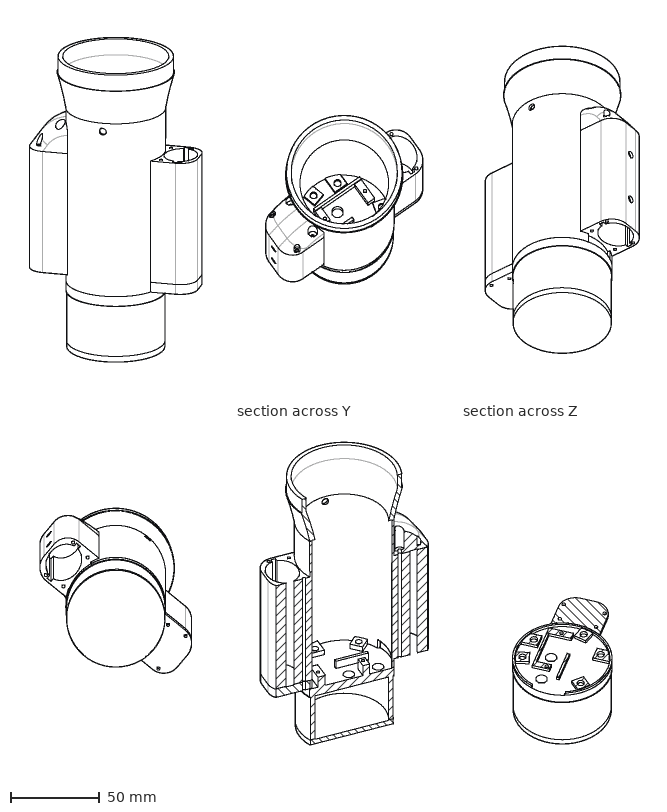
import cadquery as cq
import math

CAP_TOP = 3.5
SLEEVE_TOP = 33.3
FLOOR_Z = 39.1
POD_BOTTOM = 45.0
POD_TOP = 117.1
TUBE_TOP = 142.0
RIM_BOTTOM = 163.0
TOTAL_HEIGHT = 172.5

TUBE_DIA = 56.2
TUBE_BORE = 53.3
SLEEVE_DIA = 55.4
SLEEVE_BORE = 49.8
BELL_DIA = 66.0
RIM_DIA = 65.0
RIM_BORE = 59.7
THROAT_DIA = 49.8
FLARE_BOW = 0.3
TUBE_SCREW_DIA = 4.0
TUBE_SCREW_Z = 137.0

SPAN_X = 97.5
POD_WIDTH = 29.0
POD_CORNER = 10.0
POCKET_X = 38.0
POCKET_HALF_X = 9.3
POCKET_HALF_Y = 11.0
NOTCH_WIDTH = 2.8
NOTCH_SPAN = 25.9
WINDOW_WIDTH = 19.5
POD_SCREW_DIA = 1.7
OUTER_SCREW = (41.0, 12.0)
INNER_SCREW = (29.3, 10.7)
SIDE_HOLE_DIA = 4.0
SIDE_HOLE_LEVELS = (65.0, 97.0)

DOME_RADIUS = 24.1
DOME_AXIS_X = -22.8
DOME_SLOPE = 55.0
HEAD_SEAT_Z = 119.9
OUTER_HEAD_DIA = 3.5
INNER_HEAD_DIA = 5.3

FITTINGS_DIA = 53.0
PAD_HEIGHT = 3.1
RADIAL_PAD_ANGLES = (105, 225, 345)
RADIAL_PAD_SIZE = 7.8
RADIAL_PAD_HOLE = 3.8
RADIAL_PAD_HOLE_R = 22.5
RADIAL_PAD_INNER_R = 18.5
SQUARE_PAD_SIZE = 8.5
SQUARE_PAD_HOLE = 4.0
SQUARE_PAD_HOLE_X = 9.3
SQUARE_PAD_HOLE_Y = 19.7
SQUARE_PAD_INNER_Y = 16.2
WIRE_HOLE_DIA = 6.4
WIRE_HOLES = ((-18.0, 6.5), (0, 6.5))
BRACKET_X = (-10.9, 20.9)
BRACKET_Y = (13.0, 14.5)
BRACKET_HEIGHT = 8.6
LEG_HEIGHT = 6.9
LEFT_LEG_WIDTH = 4.1
LEFT_LEG_END_Y = 4.1
RIGHT_LEG_WIDTH = 4.7
RIGHT_LEG_END_Y = -0.2
LEG_HOLE_DIA = 1.7
LEG_HOLES = ((-8.8, 6.4), (18.8, 6.4))
STRIP_X = (-15.5, 4.5)
STRIP_Y = (-3.1, -1.4)
STRIP_HEIGHT = 5.0

POD_END_X = SPAN_X / 2
TUBE_RADIUS = TUBE_DIA / 2


def cylinder(diameter, z_low, z_high, x=0.0, y=0.0):
    return cq.Workplane("XY", origin=(x, y, z_low)).circle(diameter / 2).extrude(z_high - z_low)


def block(x_range, y_range, z_range):
    size = [high - low for low, high in (x_range, y_range, z_range)]
    corner = (x_range[0], y_range[0], z_range[0])
    return cq.Workplane("XY").box(*size, centered=False).translate(corner)


def pod_prism(side, z_low, z_high):
    """Rounded pod outline from the tube axis out to one side (+1 is +X, -1 is -X)."""
    prism = (
        cq.Workplane("XY", origin=(side * POD_END_X / 2, 0, z_low))
        .rect(POD_END_X, POD_WIDTH)
        .extrude(z_high - z_low)
    )
    outer_face = ">X" if side > 0 else "<X"
    return prism.faces(outer_face).edges("|Z").fillet(POD_CORNER)


def screw_points(side, place):
    x, y = place
    return [(side * x, -y), (side * x, y)]


def pod_screw_holes(side, z_low, z_high):
    points = screw_points(side, OUTER_SCREW) + screw_points(side, INNER_SCREW)
    return (
        cq.Workplane("XY", origin=(0, 0, z_low))
        .pushPoints(points)
        .circle(POD_SCREW_DIA / 2)
        .extrude(z_high - z_low)
    )


def pod_pocket(side):
    """Elliptical pocket along the whole pod, with a key notch on each flank."""
    start = cq.Workplane("XY", origin=(side * POCKET_X, 0, POD_BOTTOM))
    depth = POD_TOP - POD_BOTTOM
    notches = start.rect(NOTCH_WIDTH, NOTCH_SPAN).extrude(depth)
    return start.ellipse(POCKET_HALF_X, POCKET_HALF_Y).extrude(depth).union(notches)


def make_housing():
    """Main tube with both pods, open at both ends."""
    housing = cylinder(TUBE_DIA, FLOOR_Z, TUBE_TOP)
    for side in (-1, 1):
        housing = housing.union(pod_prism(side, POD_BOTTOM, POD_TOP))
    housing = housing.cut(cylinder(TUBE_BORE, FLOOR_Z, TUBE_TOP))
    for side in (-1, 1):
        housing = housing.cut(pod_pocket(side))
        housing = housing.cut(pod_screw_holes(side, POD_BOTTOM, POD_TOP))

    half_window = WINDOW_WIDTH / 2
    window = block((-TUBE_RADIUS, 0), (-half_window, half_window), (FLOOR_Z, POD_BOTTOM))
    housing = housing.cut(window)

    cross_hole = (
        cq.Workplane("XZ", origin=(0, 0, TUBE_SCREW_Z))
        .circle(TUBE_SCREW_DIA / 2)
        .extrude(TUBE_RADIUS, both=True)
    )
    housing = housing.cut(cross_hole)

    side_holes = (
        cq.Workplane("YZ", origin=(-POD_END_X, 0, 0))
        .pushPoints([(0, z) for z in SIDE_HOLE_LEVELS])
        .circle(SIDE_HOLE_DIA / 2)
        .extrude(POD_END_X - POCKET_X)
    )
    return housing.cut(side_holes)


def make_bell():
    """Flared bell with a cylindrical rim."""
    mid_z = (TUBE_TOP + RIM_BOTTOM) / 2
    outer_mid = (TUBE_DIA + BELL_DIA) / 4 - FLARE_BOW
    inner_mid = (THROAT_DIA + RIM_BORE) / 4 - FLARE_BOW
    wall = (
        cq.Workplane("XZ")
        .moveTo(THROAT_DIA / 2, TUBE_TOP)
        .lineTo(TUBE_RADIUS, TUBE_TOP)
        .threePointArc((outer_mid, mid_z), (BELL_DIA / 2, RIM_BOTTOM))
        .lineTo(RIM_DIA / 2, RIM_BOTTOM)
        .lineTo(RIM_DIA / 2, TOTAL_HEIGHT)
        .lineTo(RIM_BORE / 2, TOTAL_HEIGHT)
        .lineTo(RIM_BORE / 2, RIM_BOTTOM)
        .threePointArc((inner_mid, mid_z), (THROAT_DIA / 2, TUBE_TOP))
        .close()
    )
    return wall.revolve(360, (0, 0, 0), (0, 1, 0))


def make_dome():
    """Cover of the left pod: one rounded section run up a straight flank, then around an arc."""
    slope = math.radians(DOME_SLOPE)
    bend_x = DOME_AXIS_X - DOME_RADIUS * math.sin(slope)
    bend_z = POD_TOP + (bend_x + POD_END_X) * math.tan(slope)
    axis_z = bend_z - DOME_RADIUS * math.cos(slope)
    flank_length = DOME_RADIUS + (bend_x + POD_END_X) / math.cos(slope)

    section_plane = cq.Plane(
        origin=(DOME_AXIS_X, 0, axis_z),
        xDir=(-math.sin(slope), 0, math.cos(slope)),
        normal=(-math.cos(slope), 0, -math.sin(slope)),
    )
    half_width = POD_WIDTH / 2
    flat_half = half_width - POD_CORNER
    corner_depth = POD_CORNER * math.sin(slope)
    shoulder = DOME_RADIUS - corner_depth
    diagonal = math.sqrt(0.5)
    corner_x = shoulder + corner_depth * diagonal
    corner_y = flat_half + POD_CORNER * diagonal

    def section():
        return (
            cq.Workplane(section_plane)
            .moveTo(0, -half_width)
            .lineTo(shoulder, -half_width)
            .spline([(corner_x, -corner_y), (DOME_RADIUS, -flat_half)],
                    tangents=[(1, 0), (0, 1)], includeCurrent=True)
            .lineTo(DOME_RADIUS, flat_half)
            .spline([(corner_x, corner_y), (shoulder, half_width)],
                    tangents=[(0, 1), (-1, 0)], includeCurrent=True)
            .lineTo(0, half_width)
            .close()
        )

    flank = section().extrude(flank_length)
    crown = section().revolve(DOME_SLOPE, (0, 0, 0), (0, 1, 0))
    dome = flank.union(crown)

    half_span = (-half_width, half_width)
    dome = dome.intersect(block((-POD_END_X, DOME_AXIS_X), half_span, (POD_TOP, TUBE_TOP)))
    dome = dome.cut(cylinder(TUBE_DIA, POD_TOP, TUBE_TOP))

    dome = dome.cut(pod_screw_holes(-1, POD_TOP, TUBE_TOP))
    for place, diameter in ((OUTER_SCREW, OUTER_HEAD_DIA), (INNER_SCREW, INNER_HEAD_DIA)):
        for x, y in screw_points(-1, place):
            dome = dome.cut(cylinder(diameter, HEAD_SEAT_Z, TUBE_TOP, x, y))
    return dome


def make_pod_lid():
    """Plate that closes the bottom of the right pod."""
    lid = pod_prism(1, FLOOR_Z, POD_BOTTOM)
    lid = lid.cut(cylinder(TUBE_DIA, FLOOR_Z, POD_BOTTOM))
    return lid.cut(pod_screw_holes(1, FLOOR_Z, POD_BOTTOM))


def radial_pad(angle):
    pad = block(
        (RADIAL_PAD_INNER_R, TUBE_RADIUS),
        (-RADIAL_PAD_SIZE / 2, RADIAL_PAD_SIZE / 2),
        (FLOOR_Z, FLOOR_Z + PAD_HEIGHT),
    )
    hole = cylinder(RADIAL_PAD_HOLE, FLOOR_Z, FLOOR_Z + PAD_HEIGHT, RADIAL_PAD_HOLE_R)
    return pad.cut(hole).rotate((0, 0, 0), (0, 0, 1), angle)


def square_pads():
    """Two pads mirrored about the XZ plane."""
    half_size = SQUARE_PAD_SIZE / 2
    pad = block(
        (SQUARE_PAD_HOLE_X - half_size, SQUARE_PAD_HOLE_X + half_size),
        (SQUARE_PAD_INNER_Y, TUBE_RADIUS),
        (FLOOR_Z, FLOOR_Z + PAD_HEIGHT),
    )
    pad = pad.cut(
        cylinder(SQUARE_PAD_HOLE, FLOOR_Z, FLOOR_Z + PAD_HEIGHT, SQUARE_PAD_HOLE_X, SQUARE_PAD_HOLE_Y)
    )
    return pad, pad.mirror("XZ")


def bracket():
    """Upright wall with a lower drilled leg at each end."""
    left, right = BRACKET_X
    wall_y = BRACKET_Y[0]
    leg_range = (FLOOR_Z, FLOOR_Z + LEG_HEIGHT)
    shape = block(BRACKET_X, BRACKET_Y, (FLOOR_Z, FLOOR_Z + BRACKET_HEIGHT))
    shape = shape.union(block((left, left + LEFT_LEG_WIDTH), (LEFT_LEG_END_Y, wall_y), leg_range))
    shape = shape.union(block((right - RIGHT_LEG_WIDTH, right), (RIGHT_LEG_END_Y, wall_y), leg_range))
    for x, y in LEG_HOLES:
        shape = shape.cut(cylinder(LEG_HOLE_DIA, *leg_range, x, y))
    return shape


def make_base():
    """Hollow sleeve closed by a collar floor that carries pads, a bracket and a strip."""
    fittings = bracket().union(block(STRIP_X, STRIP_Y, (FLOOR_Z, FLOOR_Z + STRIP_HEIGHT)))
    for angle in RADIAL_PAD_ANGLES:
        fittings = fittings.union(radial_pad(angle))
    for pad in square_pads():
        fittings = fittings.union(pad)
    fittings = fittings.intersect(cylinder(FITTINGS_DIA, FLOOR_Z, TUBE_TOP))

    base = cylinder(SLEEVE_DIA, CAP_TOP, SLEEVE_TOP)
    base = base.cut(cylinder(SLEEVE_BORE, CAP_TOP, SLEEVE_TOP))
    base = base.union(cylinder(TUBE_DIA, SLEEVE_TOP, FLOOR_Z)).union(fittings)
    for x, y in WIRE_HOLES:
        base = base.cut(cylinder(WIRE_HOLE_DIA, SLEEVE_TOP, FLOOR_Z, x, y))
    return base


def make_end_cap():
    """Flat disc that closes the sleeve."""
    return cylinder(SLEEVE_DIA, 0, CAP_TOP)


housing = make_housing()
bell = make_bell()
dome = make_dome()
pod_lid = make_pod_lid()
base = make_base()
end_cap = make_end_cap()

bodies = (housing, bell, dome, pod_lid, base, end_cap)
result = cq.Compound.makeCompound([body.solids().val() for body in bodies])